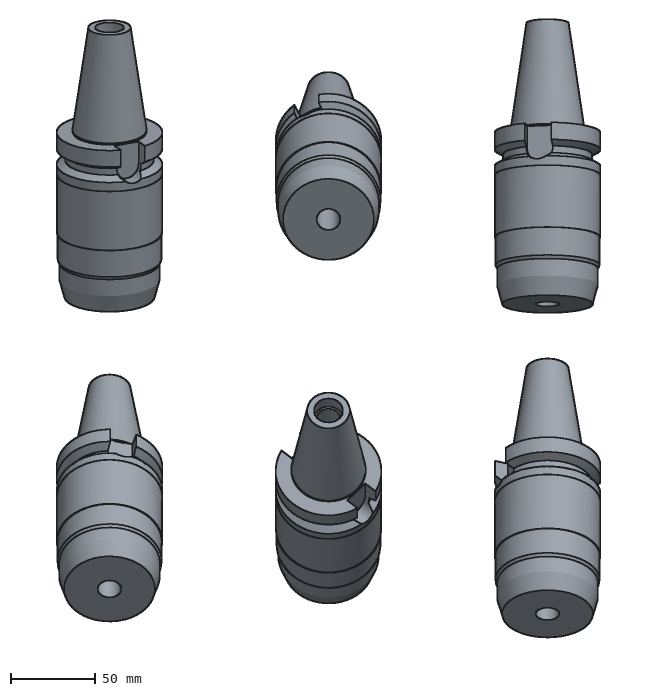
import cadquery as cq
import math


gauge_diameter = 44.45
taper_length = 65.4
taper_ratio = 7 / 24
shank_tip_diameter = gauge_diameter - taper_length * taper_ratio

neck_diameter = 43.5
neck_length = 1.0

flange_diameter = 63.0
groove_root_diameter = 53.0
groove_root_width = 4.2
groove_center_z = -16.3
groove_wall_angle = 30.0
groove_depth = (flange_diameter - groove_root_diameter) / 2
groove_wall_height = groove_depth * math.tan(math.radians(groove_wall_angle))
groove_root_top_z = groove_center_z + groove_root_width / 2
groove_root_bottom_z = groove_center_z - groove_root_width / 2
groove_top_z = groove_root_top_z + groove_wall_height
groove_bottom_z = groove_root_bottom_z - groove_wall_height

flange_bottom_z = -27.0
body_diameter = 62.8
body_bottom_z = -64.5
collar_diameter = 62.0
collar_bottom_z = -81.4
collar_chamfer_height = 2.0
nose_ring_diameter = 60.0
nose_ring_bottom_z = -93.8
nose_tip_diameter = 54.0
nose_tip_z = -105.0

keyway_width = 16.0
keyway_floor_x = 22.2
keyway_bottom_z = -23.0

bore_diameter = 14.0
counterbore_diameter = 17.0
counterbore_depth = 9.0


def make_body():
    """Revolve the half outline, given as (diameter, z) from the shank tip down to the nose."""
    stations = [
        (shank_tip_diameter, taper_length),
        (gauge_diameter, 0),
        (neck_diameter, 0),
        (neck_diameter, -neck_length),
        (flange_diameter, -neck_length),
        (flange_diameter, groove_top_z),
        (groove_root_diameter, groove_root_top_z),
        (groove_root_diameter, groove_root_bottom_z),
        (flange_diameter, groove_bottom_z),
        (flange_diameter, flange_bottom_z),
        (body_diameter, flange_bottom_z),
        (body_diameter, body_bottom_z),
        (collar_diameter, body_bottom_z),
        (collar_diameter, collar_bottom_z),
        (nose_ring_diameter, collar_bottom_z - collar_chamfer_height),
        (nose_ring_diameter, nose_ring_bottom_z),
        (nose_tip_diameter, nose_tip_z),
    ]
    outline = [(0, taper_length)]
    outline += [(diameter / 2, z) for diameter, z in stations]
    outline += [(0, nose_tip_z)]
    return cq.Workplane("XZ").polyline(outline).close().revolve(360, (0, 0), (0, 1))


def make_keyway(side):
    """Round-ended slot cutter from the keyway floor outwards; side is +1 or -1 along X."""
    radius = keyway_width / 2
    arc_center_z = keyway_bottom_z + radius
    cutter_length = flange_diameter / 2
    return (
        cq.Workplane("YZ", origin=(side * keyway_floor_x, 0, 0))
        .moveTo(-radius, -neck_length)
        .lineTo(-radius, arc_center_z)
        .threePointArc((0, keyway_bottom_z), (radius, arc_center_z))
        .lineTo(radius, -neck_length)
        .close()
        .extrude(side * cutter_length)
    )


def make_bore():
    """Through bore with a counterbore at the shank tip."""
    bore = (
        cq.Workplane("XY", origin=(0, 0, nose_tip_z))
        .circle(bore_diameter / 2)
        .extrude(taper_length - nose_tip_z)
    )
    counterbore = (
        cq.Workplane("XY", origin=(0, 0, taper_length - counterbore_depth))
        .circle(counterbore_diameter / 2)
        .extrude(counterbore_depth)
    )
    return bore.union(counterbore)


result = make_body()
for side in (-1, 1):
    result = result.cut(make_keyway(side))
result = result.cut(make_bore())